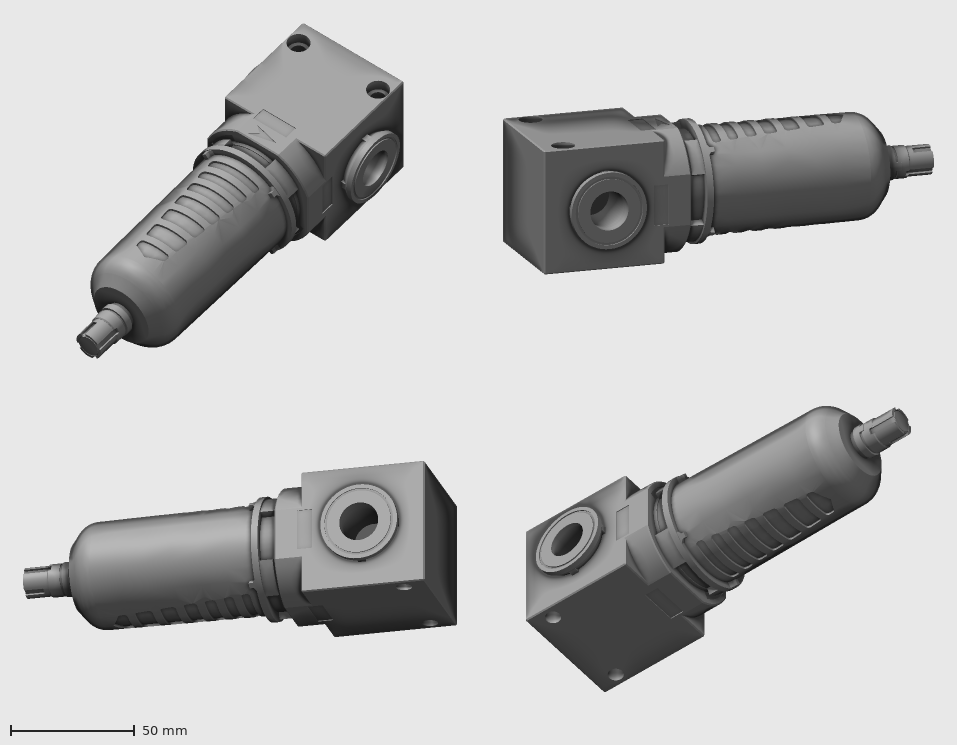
import cadquery as cq
import math


head_width = 52.0
half_head = head_width / 2
block_end = 51.7
head_end = 63.0
head_neck_radius = 28.1
edge_chamfer = 0.5

mount_hole_radius = 3.3
mount_bore_radius = 4.9
mount_bore_depth = 5.2
mount_hole_x = 20.5
mount_hole_from_back = 10.0

overall_width = 63.3
port_from_back = 26.0
port_bore_radius = 8.1
port_bore_depth = 24.3
port_flange_radius = 16.04
port_flange_thickness = 2.5
port_neck_radius = 13.9
port_groove_outer_radius = 14.4
port_groove_inner_radius = 13.4
port_groove_depth = 0.5
port_key_width = 3.3
port_key_reach = 15.5

label_length = 16.8
label_height = 6.5
label_start = 47.0
label_offset = 1.2
mark_depth = 0.3
arrow_from_back = 58.3
arrow_tail_x = -6.0
arrow_notch_x = -2.6
arrow_tip_x = 6.0
arrow_half_height = 3.0

gap_inner_radius = 21.8
gap_outer_radius = 25.5
gap_head_recess = 0.5
gap_end = 64.5
collar_radius = 24.5
collar_end = 70.0
window_floor_radius = 21.5
window_short_angle = 22.0
window_long_angle = 31.0
flange_radius = 25.5
flange_end = 72.8
lug_end = 75.6
lug_width = 2.3
lug_root_width = 5.2
lug_root_height = 1.0
lug_inner_radius = 20.0
lug_outer_radius = 25.1

bowl_top_radius = 22.7
bowl_bottom_radius = 22.0
bowl_side_end = 141.1
bowl_shoulder_radius = 18.4
bowl_shoulder_end = 148.5
bowl_end_radius = 14.0
bowl_end = 152.0

grip_depth = 1.0
grip_start = 76.8
grip_gap = 3.3
grip_heights = (3.8, 4.3, 4.9, 5.7, 6.8, 7.5)
grip_first_half_width = 12.5
grip_side_slope = 0.094
grip_corner_radius = 1.4
grip_tip_end = 137.0
grip_tip_shoulder = 133.2

overall_length = 173.4
drain_radius = 6.2
drain_neck_end = 154.0
drain_ring_radius = 7.1
drain_ring_end = 157.0
drain_groove_end = 158.0
drain_sleeve_radius = 6.8
drain_sleeve_end = 163.2
drain_sleeve_chamfer = 0.43
drain_tab_end = 159.4
drain_tab_width = 3.5
knob_slot_width = 2.6
knob_slot_depth = 1.0
knob_long_slot_start = 161.6
knob_short_slot_start = 165.5
knob_slot_angle = 30.0
knob_face_radius = 5.0
knob_face_groove_width = 0.3
knob_face_groove_depth = 0.5

quarter_turns = (0, 90, 180, 270)


def around_axis(solid, angle):
    """Turn a solid about the bowl axis; 90 degrees carries +X to +Z and +Z to -X."""
    return solid.rotate((0, 0, 0), (0, 1, 0), -angle)


def disc(radius, start, end):
    """Cylinder about the bowl axis between two distances from the back."""
    return cq.Workplane("XZ").workplane(offset=start).circle(radius).extrude(end - start)


def span_box(x_range, length_range, z_range):
    """Box given by its limits in X, distance from the back, and Z."""
    size_x = x_range[1] - x_range[0]
    size_y = length_range[1] - length_range[0]
    size_z = z_range[1] - z_range[0]
    corner = cq.Vector(x_range[0], -length_range[1], z_range[0])
    return cq.Workplane("XY").box(size_x, size_y, size_z, centered=False).translate(corner)


def make_head():
    across = (-half_head, half_head)
    block = span_box(across, (0, block_end), across).edges().chamfer(edge_chamfer)
    neck_start = block_end / 2
    neck = span_box(across, (neck_start, head_end), across)
    neck = neck.intersect(disc(head_neck_radius, neck_start, head_end))
    return block.union(neck.faces("<Y").chamfer(edge_chamfer))


def make_mount_holes():
    centres = [(side * mount_hole_x, -mount_hole_from_back) for side in (-1, 1)]
    through = (
        cq.Workplane("XY").workplane(offset=-half_head)
        .pushPoints(centres).circle(mount_hole_radius).extrude(head_width)
    )
    counterbore = (
        cq.Workplane("XY").workplane(offset=half_head - mount_bore_depth)
        .pushPoints(centres).circle(mount_bore_radius).extrude(mount_bore_depth)
    )
    return through.union(counterbore)


def make_port():
    """Port on the +X side, built about the X axis and moved to its place on the head."""
    outer_x = overall_width / 2
    flange_x = outer_x - port_flange_thickness
    root_x = half_head - edge_chamfer
    port = (
        cq.Workplane("XY")
        .moveTo(root_x, 0)
        .lineTo(root_x, port_neck_radius)
        .lineTo(half_head, port_neck_radius)
        .lineTo(flange_x, port_flange_radius)
        .lineTo(outer_x, port_flange_radius)
        .lineTo(outer_x, 0)
        .close()
        .revolve(360, (0, 0, 0), (1, 0, 0))
    )
    key_length = flange_x - root_x
    for size_y, size_z in ((port_key_width, 2 * port_key_reach), (2 * port_key_reach, port_key_width)):
        key = cq.Workplane("XY").box(key_length, size_y, size_z)
        port = port.union(key.translate((root_x + key_length / 2, 0, 0)))
    face_groove = (
        cq.Workplane("YZ").workplane(offset=outer_x - port_groove_depth)
        .circle(port_groove_outer_radius).circle(port_groove_inner_radius).extrude(port_groove_depth)
    )
    return port.cut(face_groove).translate((0, -port_from_back, 0))


def make_port_bore():
    outer_x = overall_width / 2
    bore = (
        cq.Workplane("YZ").workplane(offset=outer_x - port_bore_depth)
        .circle(port_bore_radius).extrude(port_bore_depth)
    )
    return bore.translate((0, -port_from_back, 0))


def make_label():
    """Shallow rectangle on the +Z side of the head."""
    centre_x = -label_offset
    return span_box(
        (centre_x - label_length / 2, centre_x + label_length / 2),
        (label_start, label_start + label_height),
        (half_head - mark_depth, half_head),
    )


def make_arrow():
    """Shallow flow arrow on the +Z side of the head."""
    outline = [
        (arrow_tail_x, arrow_half_height),
        (arrow_tip_x, 0),
        (arrow_tail_x, -arrow_half_height),
        (arrow_notch_x, 0),
    ]
    arrow = cq.Workplane("XY").polyline(outline).close().extrude(mark_depth)
    return arrow.translate((0, -arrow_from_back, half_head - mark_depth))


def window_sector(start, end):
    """Wedge about the bowl axis covering the collar window on the +Z side."""
    reach = 2 * collar_radius
    long_side = math.radians(window_long_angle)
    short_side = math.radians(window_short_angle)
    wedge = (
        cq.Workplane("XY")
        .polyline([
            (0, 0),
            (-reach * math.sin(long_side), reach * math.cos(long_side)),
            (reach * math.sin(short_side), reach * math.cos(short_side)),
        ])
        .close().extrude(end - start)
    )
    return wedge.rotate((0, 0, 0), (1, 0, 0), 90).translate((0, -start, 0))


def make_collar():
    collar = disc(collar_radius, head_end, collar_end)
    window = window_sector(head_end, collar_end)
    window = window.cut(disc(gap_inner_radius, head_end, gap_end))
    window = window.cut(disc(window_floor_radius, gap_end, collar_end))
    for angle in quarter_turns:
        collar = collar.cut(around_axis(window, angle))
    return collar


def make_collar_gap():
    """Gap between head and collar, from the +Z window round to the -X window."""
    gap_start = head_end - gap_head_recess
    gap = disc(gap_outer_radius, gap_start, gap_end).cut(disc(gap_inner_radius, gap_start, gap_end))
    gap = gap.intersect(span_box((-half_head, 0), (gap_start, gap_end), (0, half_head)))
    sector = window_sector(gap_start, gap_end)
    return gap.cut(sector).cut(around_axis(sector, 90))


def make_flange():
    flange = disc(flange_radius, collar_end, flange_end)
    root_end = flange_end + lug_root_height
    half_lug = lug_width / 2
    half_root = lug_root_width / 2
    lug = (
        cq.Workplane("XY").workplane(offset=lug_inner_radius)
        .polyline([
            (-half_root, -collar_end),
            (-half_root, -flange_end),
            (-half_lug, -root_end),
            (-half_lug, -lug_end),
            (half_lug, -lug_end),
            (half_lug, -root_end),
            (half_root, -flange_end),
            (half_root, -collar_end),
        ])
        .close().extrude(lug_outer_radius)
        .intersect(disc(lug_outer_radius, collar_end, lug_end))
    )
    for angle in quarter_turns:
        flange = flange.union(around_axis(lug, angle + 45))
    return flange


def make_bowl():
    shoulder_slope = cq.Vector(
        bowl_end_radius - bowl_shoulder_radius, bowl_shoulder_end - bowl_end
    ).normalized()
    arc_turn = math.atan2(-shoulder_slope.x, -shoulder_slope.y)
    chord_drop = bowl_shoulder_end - bowl_side_end
    chord_in = bowl_bottom_radius - bowl_shoulder_radius
    chord = math.hypot(chord_drop, chord_in)
    arc_bulge = chord / 2 * math.tan(arc_turn / 4)
    arc_middle = (
        (bowl_bottom_radius + bowl_shoulder_radius) / 2 + arc_bulge * chord_drop / chord,
        -(bowl_side_end + bowl_shoulder_end) / 2 - arc_bulge * chord_in / chord,
    )
    return (
        cq.Workplane("XY")
        .moveTo(0, -collar_end)
        .lineTo(bowl_top_radius, -collar_end)
        .lineTo(bowl_bottom_radius, -bowl_side_end)
        .threePointArc(arc_middle, (bowl_shoulder_radius, -bowl_shoulder_end))
        .lineTo(bowl_end_radius, -bowl_end)
        .lineTo(0, -bowl_end)
        .close()
        .revolve(360, (0, 0, 0), (0, 1, 0))
    )


def grip_half_width(distance):
    return grip_first_half_width - grip_side_slope * (distance - grip_start)


def grip_block(outline, rounded_edges):
    """Upright block over a grip outline, with the chosen edges rounded."""
    block = cq.Workplane("XY").polyline(outline).close().extrude(half_head)
    return block.edges(rounded_edges).fillet(grip_corner_radius)


def make_grip_pockets():
    """Row of narrowing pockets on the +Z side, ending in a pointed one."""
    pockets = cq.Workplane("XY")
    start = grip_start
    for height in grip_heights:
        end = start + height
        wide = grip_half_width(start)
        narrow = grip_half_width(end)
        outline = [(-wide, -start), (wide, -start), (narrow, -end), (-narrow, -end)]
        pockets = pockets.add(grip_block(outline, "|Z"))
        start = end + grip_gap

    wide = grip_half_width(start)
    narrow = grip_half_width(grip_tip_shoulder)
    pointed_outline = [
        (-wide, -start),
        (wide, -start),
        (narrow, -grip_tip_shoulder),
        (0, -grip_tip_end),
        (-narrow, -grip_tip_shoulder),
    ]
    pockets = pockets.add(grip_block(pointed_outline, "|Z and (not <Y)"))

    floor = (
        cq.Workplane("XY")
        .polyline([
            (0, -collar_end),
            (bowl_top_radius - grip_depth, -collar_end),
            (bowl_bottom_radius - grip_depth, -bowl_side_end),
            (0, -bowl_side_end),
        ])
        .close().revolve(360, (0, 0, 0), (0, 1, 0))
    )
    return pockets.combine().cut(floor)


def make_drain():
    drain = disc(drain_radius, bowl_end, overall_length)
    drain = drain.union(disc(drain_ring_radius, drain_neck_end, drain_ring_end))
    sleeve = disc(drain_sleeve_radius, drain_groove_end, drain_sleeve_end)
    drain = drain.union(sleeve.faces("<Y").chamfer(drain_sleeve_chamfer))
    half_tab = drain_tab_width / 2
    tab = span_box((-drain_ring_radius, 0), (drain_neck_end, drain_tab_end), (-half_tab, half_tab))
    drain = drain.union(tab.intersect(disc(drain_ring_radius, drain_neck_end, drain_tab_end)))

    half_slot = knob_slot_width / 2
    slot_radii = (drain_radius - knob_slot_depth, drain_ring_radius)
    slot_starts = (knob_long_slot_start, knob_short_slot_start)
    for index, angle in enumerate(quarter_turns):
        slot = span_box(slot_radii, (slot_starts[index % 2], overall_length), (-half_slot, half_slot))
        drain = drain.cut(around_axis(slot, knob_slot_angle + angle))
    groove_start = overall_length - knob_face_groove_depth
    face_groove = disc(knob_face_radius, groove_start, overall_length).cut(
        disc(knob_face_radius - knob_face_groove_width, groove_start, overall_length)
    )
    return drain.cut(face_groove)


bowl = make_bowl()
grip_pockets = make_grip_pockets()
for side_angle in (0, 180):
    bowl = bowl.cut(around_axis(grip_pockets, side_angle))

head = make_head()
for side_angle in (0, 180):
    head = head.union(around_axis(make_port(), side_angle))
    head = head.cut(around_axis(make_port_bore(), side_angle))
for side_angle in quarter_turns:
    head = head.cut(around_axis(make_label(), side_angle))
head = head.cut(make_arrow()).cut(make_mount_holes())

upper_parts = head.union(make_collar())
for side_angle in (0, 180):
    upper_parts = upper_parts.cut(around_axis(make_collar_gap(), side_angle))

result = upper_parts.union(make_flange()).union(bowl).union(make_drain())